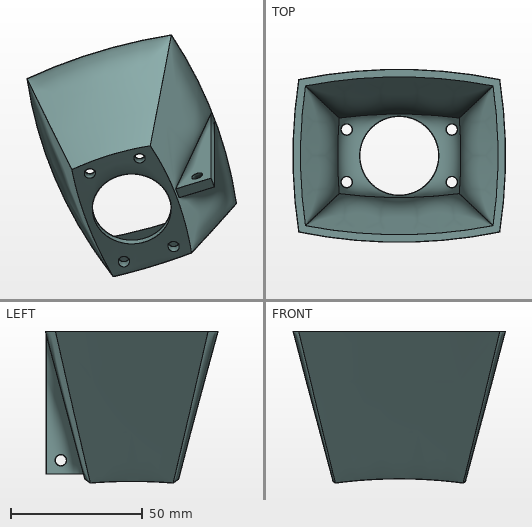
import cadquery as cq
import math

rim_length = 81.0
rim_width = 65.87
height = 57.74
arc_radius = 190.0
draft_angle = 15.0

wall = 2.9
rim_band = 1.75
floor_level = 5.0

dome_radius = 165.0

center_hole_diameter = 30.0
screw_hole_diameter = 4.2
screw_spacing_x = 40.0
screw_spacing_y = 20.0

tab_thickness = 4.0
tab_outer_y = 32.6
tab_bottom = 3.4
tab_hole_diameter = 4.2
tab_hole_y = 27.0
tab_hole_z = 8.7


def bulged_corner(half_length, half_width, radius):
    """Return the +X +Y corner where an end arc meets a long arc."""
    end_center = half_length - radius
    long_center = half_width - radius
    separation = math.hypot(end_center, long_center)
    reach = math.sqrt(radius**2 - (separation / 2) ** 2)
    x = end_center / 2 - reach * long_center / separation
    y = long_center / 2 - reach * end_center / separation
    return x, y


def bulged_outline(inset, level):
    """Closed outline of the rim, moved inward by inset, at the given height."""
    half_length = rim_length / 2 - inset
    half_width = rim_width / 2 - inset
    x, y = bulged_corner(half_length, half_width, arc_radius - inset)
    return (
        cq.Workplane("XY", origin=(0, 0, level))
        .moveTo(x, -y)
        .threePointArc((half_length, 0), (x, y))
        .threePointArc((0, half_width), (-x, y))
        .threePointArc((-half_length, 0), (-x, -y))
        .threePointArc((0, -half_width), (x, -y))
        .close()
    )


def tapered_body(inset, depth):
    """Solid that hangs from the rim plane and narrows downward."""
    return bulged_outline(inset, height).extrude(-depth, taper=draft_angle)


def underside_dome():
    """Ball whose top hollows the underside, passing through the four lowest corners."""
    inset = height * math.tan(math.radians(draft_angle))
    x, y = bulged_corner(rim_length / 2 - inset, rim_width / 2 - inset, arc_radius - inset)
    center_depth = math.sqrt(dome_radius**2 - x**2 - y**2)
    return cq.Workplane("XY", origin=(0, 0, -center_depth)).sphere(dome_radius)


def mounting_tab():
    tab = cq.Workplane("XY").box(
        tab_thickness, tab_outer_y, height - tab_bottom, centered=(True, False, False)
    )
    tab = tab.translate((0, 0, tab_bottom))
    hole = (
        cq.Workplane("YZ", origin=(-tab_thickness / 2, 0, 0))
        .center(tab_hole_y, tab_hole_z)
        .circle(tab_hole_diameter / 2)
        .extrude(tab_thickness)
    )
    return tab.cut(hole)


def floor_holes():
    center_hole = cq.Workplane("XY").circle(center_hole_diameter / 2).extrude(height)
    screw_holes = (
        cq.Workplane("XY")
        .rarray(screw_spacing_x, screw_spacing_y, 2, 2)
        .circle(screw_hole_diameter / 2)
        .extrude(height)
    )
    return center_hole.union(screw_holes)


split = tapered_body(rim_band, height - floor_level)
cavity = tapered_body(wall, height - floor_level)

shell = tapered_body(0, height).union(mounting_tab()).cut(split)
shell = shell.cut(underside_dome()).cut(floor_holes())
liner = split.cut(cavity)

result = shell.union(liner, clean=False)